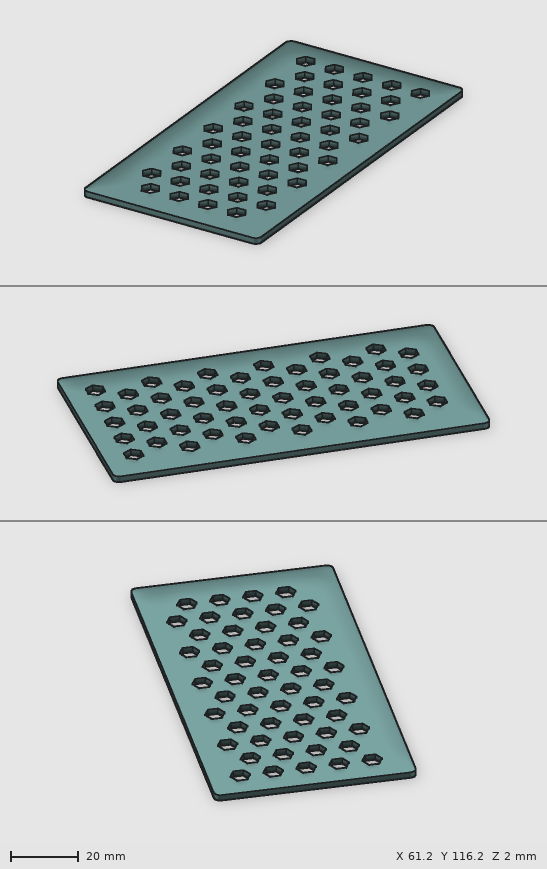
import cadquery as cq
import math

plate_width = 61.2
plate_length = 116.2
plate_thickness = 2.0
corner_radius = 2.0

hole_pitch = 10.0
row_pitch = hole_pitch * math.sqrt(3) / 2
hole_sides = 6
hole_corner_diameter = 6.0
row_count = 12
long_row_holes = 5
grid_center_x = 0.9
grid_center_y = 1.2


def rounded_plate():
    """Flat plate, centred on the origin in X and Y, with rounded vertical corners."""
    plate = cq.Workplane("XY").box(
        plate_width, plate_length, plate_thickness, centered=(True, True, False)
    )
    return plate.edges("|Z").fillet(corner_radius)


def hole_centers():
    """Rows from +Y to -Y, every second row one hole shorter and shifted by half a pitch."""
    centers = []
    first_row_y = grid_center_y + (row_count - 1) * row_pitch / 2
    for row in range(row_count):
        holes_in_row = long_row_holes - row % 2
        first_hole_x = grid_center_x - (holes_in_row - 1) * hole_pitch / 2
        y = first_row_y - row * row_pitch
        for column in range(holes_in_row):
            centers.append((first_hole_x + column * hole_pitch, y))
    return centers


def hex_hole_cutters():
    """Hexagonal prisms, with corners pointing along X, through the full thickness."""
    centers = hole_centers()
    hexagons = cq.Workplane("XY").pushPoints(centers).polygon(hole_sides, hole_corner_diameter)
    return hexagons.extrude(plate_thickness)


result = rounded_plate().cut(hex_hole_cutters())